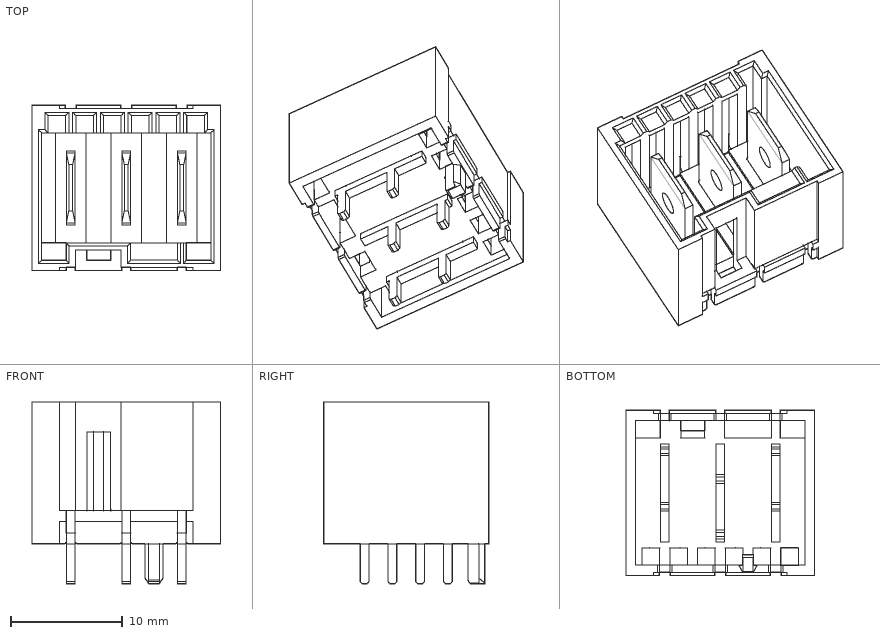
import cadquery as cq


WIDTH = 17.0
DEPTH = 14.9
HEIGHT = 12.8
FRONT = -DEPTH / 2
BACK = DEPTH / 2
SIDE_WALL = 0.88
END_WALL = 0.94
RIM_CHAMFER = 0.29

CAVITY_X = WIDTH / 2 - SIDE_WALL
CAVITY_Y = 4.95
FLOOR_TOP = 3.15
FLOOR_STEP = 0.37
BAND_WIDTH = 2.79
UNDERSIDE = 1.0

POCKET_COUNT = 6
POCKET_PITCH = 2.5
RIB_WIDTH = 0.94
POCKET_ROW_X = (POCKET_COUNT * POCKET_PITCH - RIB_WIDTH) / 2
ROOF_THICKNESS = 0.66
ROOF_TOP = HEIGHT - RIM_CHAMFER

CORNER_POCKET_X = -5.42
FRONT_ROOF_X = (0.39, 4.6)
FRONT_RIB_WIDTH = 0.82

LATCH_X = (-4.55, -0.48)
LATCH_DEPTH = 1.84
LATCH_FLOOR = 3.0
WINDOW_X = (-3.55, -1.41)
WINDOW_TOP = 10.1

RECESS_WIDTH = 11.98
RECESS_DEPTH = 0.29
LEDGE_BOTTOM = 2.0
FRONT_SLOT_WIDTH = 0.8
BACK_SLOT_WIDTH = 0.97
SLOT_CHAMFER = 0.15

PEG_X = POCKET_PITCH
PEG_LENGTH = 3.6
PEG_BACK = 7.09
PEG_FRONT = 5.55
PEG_HEAD_LENGTH = 0.56
PEG_HEAD_WIDTH = 1.65
PEG_STEM_WIDTH = 1.0
PEG_FRONT_BEVEL_RUN = 0.25
PEG_FRONT_BEVEL_HEIGHT = 0.35
PEG_FRONT_BREAK_RUN = 0.07
PEG_FRONT_BREAK_HEIGHT = 0.2
PEG_TAPER_RUN = 0.37
PEG_TAPER_HEIGHT = 0.53

BLADE_PITCH = 2 * POCKET_PITCH
BLADE_COLUMNS = (-BLADE_PITCH, 0, BLADE_PITCH)
BLADE_THICKNESS = 0.8
BLADE_LENGTH = 6.32
BLADE_TOP = 12.29
TIP_HEIGHT = 0.9
TIP_LENGTH = 4.2
TIP_THICKNESS = 0.35
ROOT_FLARE = 0.17
ROOT_HEIGHT = 0.51
ROOT_LENGTH = BLADE_LENGTH + 2 * ROOT_FLARE
FOOT_LENGTH = 8.84
HOLE_DIAMETER = 2.0
HOLE_Z = 7.99
PIN_ROW_PITCH = POCKET_PITCH
OUTER_BLADE_PIN_ROWS = (-1.5, 0.5)
MIDDLE_BLADE_PIN_ROWS = (-0.5, 1.5)
PIN_WIDTH = BLADE_THICKNESS
PIN_LENGTH = PEG_LENGTH
PIN_CHAMFER = 0.2


def block(x_range, y_range, z_range):
    """Box between pairs of limits along each axis."""
    size = [high - low for low, high in (x_range, y_range, z_range)]
    corner = cq.Vector(x_range[0], y_range[0], z_range[0])
    return cq.Workplane(cq.Solid.makeBox(*size, corner))


def centred(centre, width):
    """Limits of a span of the given width about its centre."""
    return (centre - width / 2, centre + width / 2)


def opening(x_range, y_range, bottom):
    """Rectangular void from `bottom` to the top of the housing, flared at the rim."""
    width = x_range[1] - x_range[0]
    length = y_range[1] - y_range[0]
    flare = (
        cq.Workplane("XY")
        .workplane(offset=HEIGHT - RIM_CHAMFER)
        .center(sum(x_range) / 2, sum(y_range) / 2)
        .rect(width, length)
        .workplane(offset=RIM_CHAMFER)
        .rect(width + 2 * RIM_CHAMFER, length + 2 * RIM_CHAMFER)
        .loft(ruled=True)
    )
    return block(x_range, y_range, (bottom, ROOF_TOP)).union(flare)


def cavity():
    """Everything open to the top: main cavity, back pocket row and front pockets."""
    main = opening((-CAVITY_X, CAVITY_X), (-CAVITY_Y, CAVITY_Y), FLOOR_TOP)
    back_row = opening((-POCKET_ROW_X, POCKET_ROW_X), (CAVITY_Y, BACK - END_WALL), 0)
    front_span = (FRONT + END_WALL, -CAVITY_Y)
    left_corner = opening((-CAVITY_X, CORNER_POCKET_X), front_span, 0)
    right_front = opening((FRONT_ROOF_X[0], CAVITY_X), front_span, 0)
    return main.union(back_row).union(left_corner).union(right_front)


def floor_troughs():
    """Lower strips of the cavity floor between the raised bands at the blades."""
    troughs = block((-CAVITY_X, CAVITY_X), (-CAVITY_Y, CAVITY_Y), (FLOOR_TOP - FLOOR_STEP, FLOOR_TOP))
    for x in BLADE_COLUMNS:
        troughs = troughs.cut(block(centred(x, BAND_WIDTH), (-CAVITY_Y, CAVITY_Y), (0, HEIGHT)))
    return troughs


def rib(x, width, y_range):
    """Upright wall between two pockets, with its top corners chamfered."""
    wall = block(centred(x, width), y_range, (0, HEIGHT))
    return wall.faces(">Z").edges("|Y").chamfer(RIM_CHAMFER)


def pocket_walls_and_roofs():
    """Ribs and roofs that divide the back and front pockets."""
    back_span = (CAVITY_Y, BACK - END_WALL)
    front_span = (FRONT + END_WALL, -CAVITY_Y)
    roof_z = (ROOF_TOP - ROOF_THICKNESS, ROOF_TOP)
    roof_end = POCKET_ROW_X - POCKET_PITCH
    parts = block((-POCKET_ROW_X, roof_end), back_span, roof_z)
    parts = parts.union(block(FRONT_ROOF_X, front_span, roof_z))
    for index in range(1, POCKET_COUNT):
        x = (index - POCKET_COUNT / 2) * POCKET_PITCH
        parts = parts.union(rib(x, RIB_WIDTH, (CAVITY_Y, BACK - RECESS_DEPTH)))
    front_rib_x = FRONT_ROOF_X[1] + FRONT_RIB_WIDTH / 2
    return parts.union(rib(front_rib_x, FRONT_RIB_WIDTH, (FRONT + RECESS_DEPTH, -CAVITY_Y)))


def underside_hollow():
    """Hollow below the floor, between the four outer walls."""
    return block((-CAVITY_X, CAVITY_X), (FRONT + END_WALL, BACK - END_WALL), (0, UNDERSIDE))


def latch_box():
    """Recess in the front wall with the window through its back and floor."""
    box = block(LATCH_X, (FRONT, FRONT + LATCH_DEPTH), (LATCH_FLOOR, HEIGHT))
    window = block(WINDOW_X, (FRONT + LATCH_DEPTH, -CAVITY_Y), (0, WINDOW_TOP))
    floor_hole = block(WINDOW_X, (FRONT + END_WALL, FRONT + LATCH_DEPTH), (0, LATCH_FLOOR))
    return box.union(window).union(floor_hole)


def outer_recesses(outside, inward):
    """Shallow recesses above and below the ledge of the wall whose face is at y = `outside`."""
    y_range = sorted((outside, outside + inward * RECESS_DEPTH))
    x_range = centred(0, RECESS_WIDTH)
    upper = block(x_range, y_range, (LATCH_FLOOR, HEIGHT))
    return upper.union(block(x_range, y_range, (0, LEDGE_BOTTOM)))


def wall_slots(outside, inward, width):
    """Slots through the foot of an end wall, in line with the blades."""
    y_range = sorted((outside, outside + inward * END_WALL))
    slots = cq.Workplane("XY")
    for x in BLADE_COLUMNS:
        slots = slots.union(block(centred(x, width), y_range, (0, LATCH_FLOOR)))
        half_mouth = width / 2 + SLOT_CHAMFER
        mouth = (
            cq.Workplane("XZ", origin=(x, y_range[1], 0))
            .moveTo(-half_mouth, 0)
            .lineTo(half_mouth, 0)
            .lineTo(0, half_mouth)
            .close()
            .extrude(END_WALL)
        )
        slots = slots.union(mouth)
    return slots


def peg():
    """Board locating peg hanging from one rib, with tapered sides and a two-step bevel in front."""
    peg_y = (PEG_FRONT, PEG_BACK)
    peg_z = (-PEG_LENGTH, UNDERSIDE)
    head_front = PEG_BACK - PEG_HEAD_LENGTH
    stem = block(centred(PEG_X, PEG_STEM_WIDTH), peg_y, peg_z)
    outline = [
        (PEG_X - PEG_HEAD_WIDTH / 2, head_front),
        (PEG_X + PEG_HEAD_WIDTH / 2, head_front),
        (PEG_X + PEG_STEM_WIDTH / 2, PEG_BACK),
        (PEG_X - PEG_STEM_WIDTH / 2, PEG_BACK),
    ]
    head = (
        cq.Workplane("XY", origin=(0, 0, -PEG_LENGTH))
        .polyline(outline)
        .close()
        .extrude(PEG_LENGTH + UNDERSIDE)
    )
    side_taper = block(centred(PEG_X, PEG_HEAD_WIDTH), peg_y, peg_z)
    side_taper = side_taper.faces("<Z").edges("|Y").chamfer(PEG_TAPER_HEIGHT, PEG_TAPER_RUN)
    front_bevel = (
        cq.Workplane("YZ", origin=(PEG_X - PEG_HEAD_WIDTH / 2, 0, 0))
        .moveTo(PEG_FRONT, -PEG_LENGTH)
        .lineTo(PEG_FRONT + PEG_FRONT_BEVEL_RUN, -PEG_LENGTH)
        .lineTo(PEG_FRONT + PEG_FRONT_BREAK_RUN, -PEG_LENGTH + PEG_FRONT_BREAK_HEIGHT)
        .lineTo(PEG_FRONT, -PEG_LENGTH + PEG_FRONT_BEVEL_HEIGHT)
        .close()
        .extrude(PEG_HEAD_WIDTH)
    )
    return stem.union(head).intersect(side_taper).cut(front_bevel)


def blade(x, pin_rows):
    """Blade contact: tapered plate with a cross hole, rooted on a foot bar with two pins."""
    thickness = centred(x, BLADE_THICKNESS)
    shoulder = BLADE_TOP - TIP_HEIGHT
    half = BLADE_LENGTH / 2
    root = ROOT_LENGTH / 2
    plate = (
        cq.Workplane("YZ", origin=(thickness[0], 0, 0))
        .moveTo(-root, 0)
        .lineTo(-root, FLOOR_TOP)
        .lineTo(-half, FLOOR_TOP + ROOT_HEIGHT)
        .lineTo(-half, shoulder)
        .lineTo(half, shoulder)
        .lineTo(half, FLOOR_TOP + ROOT_HEIGHT)
        .lineTo(root, FLOOR_TOP)
        .lineTo(root, 0)
        .close()
        .extrude(BLADE_THICKNESS)
    )
    tip = (
        cq.Workplane("XY", origin=(x, 0, shoulder))
        .rect(BLADE_THICKNESS, BLADE_LENGTH)
        .workplane(offset=TIP_HEIGHT)
        .rect(TIP_THICKNESS, TIP_LENGTH)
        .loft(ruled=True)
    )
    foot = block(thickness, centred(0, FOOT_LENGTH), (0, UNDERSIDE))
    hole = (
        cq.Workplane("YZ", origin=(thickness[0], 0, 0))
        .center(0, HOLE_Z)
        .circle(HOLE_DIAMETER / 2)
        .extrude(BLADE_THICKNESS)
    )
    body = plate.union(tip).union(foot).cut(hole)
    for row in pin_rows:
        pin = block(thickness, centred(row * PIN_ROW_PITCH, PIN_WIDTH), (-PIN_LENGTH, 0))
        body = body.union(pin.faces("<Z").edges("|X").chamfer(PIN_CHAMFER))
    return body


def housing(contacts):
    """Insulating housing with seats that match the blades."""
    body = block(centred(0, WIDTH), (FRONT, BACK), (0, HEIGHT))
    body = body.cut(cavity()).cut(floor_troughs())
    body = body.union(pocket_walls_and_roofs())
    body = body.cut(latch_box()).cut(underside_hollow())
    body = body.cut(outer_recesses(FRONT, 1)).cut(outer_recesses(BACK, -1))
    body = body.cut(wall_slots(FRONT, 1, FRONT_SLOT_WIDTH))
    body = body.cut(wall_slots(BACK, -1, BACK_SLOT_WIDTH))
    body = body.union(peg())
    for contact in contacts:
        body = body.cut(contact)
    return body


blades = []
for column_x in BLADE_COLUMNS:
    rows = MIDDLE_BLADE_PIN_ROWS if column_x == 0 else OUTER_BLADE_PIN_ROWS
    blades.append(blade(column_x, rows))

result = cq.Compound.makeCompound([housing(blades).val(), *[contact.val() for contact in blades]])